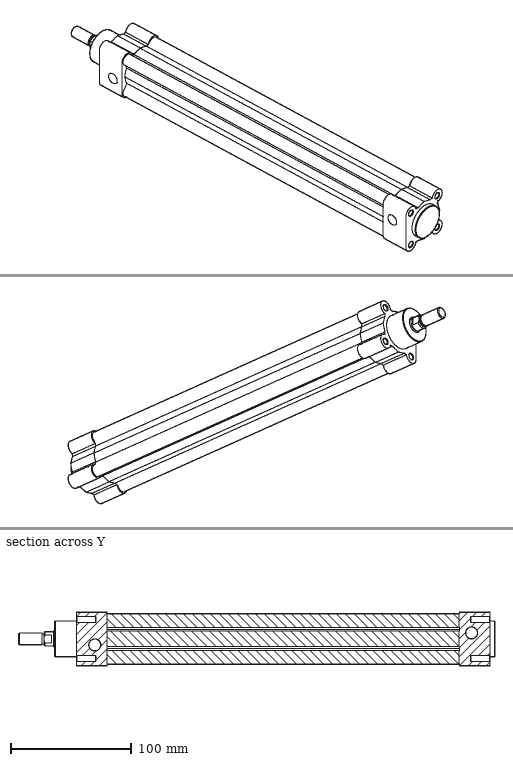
import cadquery as cq
import math


body_length = 344.0
cap_length = 25.5
barrel_length = body_length - 2 * cap_length
rear_cap_start = body_length - cap_length
front_collar_length = 18.0
rear_collar_length = 4.0
rod_reach = 48.0

section_size = 45.0
half_section = section_size / 2
tie_pitch = 32.5
tie_offset = tie_pitch / 2
cap_lobe_radius = half_section - tie_offset
barrel_lobe_radius = 5.0
side_radius = 18.6
cap_roof_tilt = math.radians(16.5)
cap_arc_end = 7.5
cap_web_end = 10.1
barrel_roof_tilt = math.radians(13.0)
barrel_arc_end = 7.8
barrel_web_end = 12.5

collar_radius = 15.0
collar_chamfer = 0.5
seal_base_radius = 6.8
seal_lip_radius = 6.3
seal_length = 1.2

tie_hole_diameter = 5.0
tie_hole_mouth_diameter = 6.0
tie_hole_depth = 16.0
port_diameter = 9.7
port_depth = 10.0
port_inset = 15.3
port_height = 5.0

rod_radius = 6.0
thread_radius = 5.0
thread_length = 21.0
thread_chamfer = 0.8
undercut_radius = 4.3
undercut_length = 1.4
shoulder_chamfer = 1.0
flats_width = 10.0
flats_length = 6.5
shoulder = thread_length - rod_reach


def on_side_arc(y):
    """Point (y, z) on the side arc, which is centred on the X axis."""
    return (y, math.sqrt(side_radius**2 - y**2))


def on_lobe(radius, y):
    """Point (y, z) on the outer half of the corner lobe that faces the side."""
    return (y, tie_offset + math.sqrt(radius**2 - (y - tie_offset) ** 2))


def swap(point):
    """Mirror a (y, z) point across the diagonal of its quadrant."""
    return (point[1], point[0])


def concave_middle(foot, web_end):
    """Middle of the concave arc from foot that runs tangent into the lobe at web_end."""
    chord = math.dist(foot, web_end)
    chord_angle = math.atan2(web_end[1] - foot[1], web_end[0] - foot[0])
    lobe_normal = math.atan2(web_end[1] - tie_offset, web_end[0] - tie_offset)
    half_turn = lobe_normal - math.pi / 2 - chord_angle
    sag = chord / 2 * math.tan(abs(half_turn) / 2)
    return (
        (foot[0] + web_end[0]) / 2 + sag * math.sin(chord_angle),
        (foot[1] + web_end[1]) / 2 - sag * math.cos(chord_angle),
    )


def profile_bar(start, length, lobe_radius, roof_tilt, arc_end, web_end_y, concave_web):
    """Four-lobed bar: each side is a shallow roof tangent to an arc, with a web out to each lobe."""
    apex = (0.0, side_radius / math.cos(roof_tilt))
    roof_end = on_side_arc(side_radius * math.sin(roof_tilt))
    arc_middle = on_side_arc((roof_end[0] + arc_end) / 2)
    foot = on_side_arc(arc_end)
    web_end = on_lobe(lobe_radius, web_end_y)
    lobe_crest = (tie_offset + lobe_radius * math.sqrt(0.5),) * 2

    outline = cq.Workplane("YZ", origin=(start, 0, 0)).lineTo(*apex).lineTo(*roof_end)
    outline = outline.threePointArc(arc_middle, foot)
    if concave_web:
        web_middle = concave_middle(foot, web_end)
        outline = outline.threePointArc(web_middle, web_end)
        outline = outline.threePointArc(lobe_crest, swap(web_end))
        outline = outline.threePointArc(swap(web_middle), swap(foot))
    else:
        outline = outline.lineTo(*web_end)
        outline = outline.threePointArc(lobe_crest, swap(web_end))
        outline = outline.lineTo(*swap(foot))
    outline = outline.threePointArc(swap(arc_middle), swap(roof_end)).lineTo(*swap(apex))
    quadrant = outline.close().extrude(length)

    bar = quadrant
    for turn in range(1, 4):
        bar = bar.union(quadrant.rotate((0, 0, 0), (1, 0, 0), 90 * turn))
    return bar.clean()


def make_cap(start, outer_face, outward, collar_length, port_z):
    """End cap with its port pad, collar, tie holes and port; outward is the X sign of its outer face."""
    cap = profile_bar(
        start, cap_length, cap_lobe_radius, cap_roof_tilt, cap_arc_end, cap_web_end, concave_web=False
    )

    port_pad = cq.Workplane("XY").box(
        cap_length, half_section, tie_pitch, centered=(False, False, True)
    )
    cap = cap.union(port_pad.translate((start, -half_section, 0)))

    outer_plane = cq.Plane(origin=(outer_face, 0, 0), xDir=(0, 1, 0), normal=(outward, 0, 0))
    collar = cq.Workplane(outer_plane).circle(collar_radius).extrude(collar_length)
    cap = cap.union(collar.faces(">X" if outward > 0 else "<X").chamfer(collar_chamfer))

    tie_centers = cq.Workplane(outer_plane).rect(tie_pitch, tie_pitch, forConstruction=True)
    tie_centers = tie_centers.vertices()
    tie_holes = tie_centers.circle(tie_hole_diameter / 2).extrude(-tie_hole_depth)
    mouth_depth = (tie_hole_mouth_diameter - tie_hole_diameter) / 2
    mouths = tie_centers.circle(tie_hole_mouth_diameter / 2).extrude(-mouth_depth, taper=45)

    port_center = (outer_face - outward * port_inset, -half_section, port_z)
    port_plane = cq.Plane(origin=port_center, xDir=(1, 0, 0), normal=(0, -1, 0))
    port = cq.Workplane(port_plane).circle(port_diameter / 2).extrude(-port_depth)
    return cap.cut(tie_holes).cut(mouths).cut(port)


def make_front_cap():
    """Front cap with a tapered rod seal on its collar and a through bore for the rod."""
    cap = make_cap(0.0, 0.0, -1, front_collar_length, -port_height)
    seal_tip = -front_collar_length - seal_length
    seal = (
        cq.Workplane("XY")
        .moveTo(seal_tip, 0)
        .lineTo(seal_tip, seal_lip_radius)
        .lineTo(-front_collar_length, seal_base_radius)
        .lineTo(-front_collar_length, 0)
        .close()
        .revolve(360, (0, 0, 0), (1, 0, 0))
    )
    bore = cq.Workplane("YZ", origin=(-rod_reach, 0, 0)).circle(rod_radius).extrude(rod_reach + cap_length)
    return cap.union(seal).cut(bore)


def make_rear_cap():
    """Rear cap with a short centring collar."""
    return make_cap(rear_cap_start, body_length, 1, rear_collar_length, port_height)


def make_barrel():
    """Profile barrel between the caps, with concave webs beside its lobes."""
    return profile_bar(
        cap_length,
        barrel_length,
        barrel_lobe_radius,
        barrel_roof_tilt,
        barrel_arc_end,
        barrel_web_end,
        concave_web=True,
    )


def make_rod():
    """Piston rod with a reduced, undercut threaded end and two wrench flats, ending at the barrel."""
    rod = cq.Workplane("YZ", origin=(shoulder, 0, 0)).circle(rod_radius).extrude(cap_length - shoulder)
    rod = rod.faces("<X").chamfer(shoulder_chamfer)
    undercut_start = shoulder - undercut_length
    undercut = cq.Workplane("YZ", origin=(undercut_start, 0, 0)).circle(undercut_radius)
    undercut = undercut.extrude(undercut_length)
    thread = cq.Workplane("YZ", origin=(-rod_reach, 0, 0)).circle(thread_radius)
    thread = thread.extrude(thread_length - undercut_length).faces("<X").chamfer(thread_chamfer)
    rod = rod.union(undercut).union(thread)

    for side in (-1, 1):
        flat_cut = cq.Workplane("XY").box(flats_length, flats_width, 2 * rod_radius)
        rod = rod.cut(flat_cut.translate((shoulder + flats_length / 2, side * flats_width, 0)))
    return rod


front_cap = make_front_cap()
barrel = make_barrel()
rear_cap = make_rear_cap()
rod = make_rod()

result = cq.Compound.makeCompound([front_cap.val(), barrel.val(), rear_cap.val(), rod.val()])